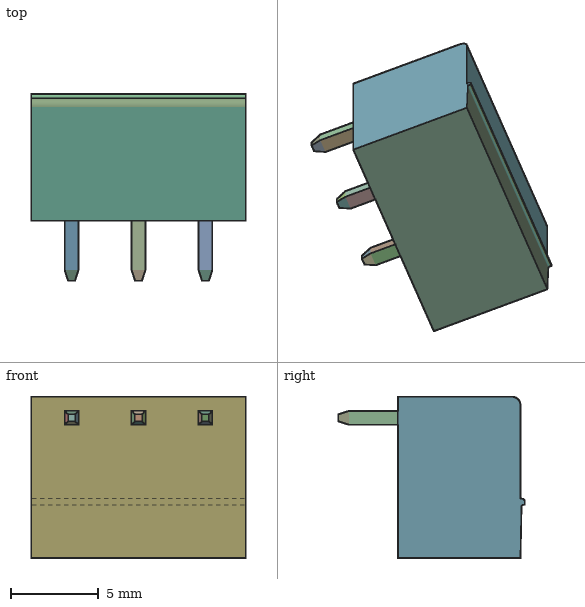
import cadquery as cq

BODY_WIDTH = 12.22
BODY_DEPTH = 6.98
BODY_HEIGHT = 9.2
TOP_EDGE_RADIUS = 0.5

RIDGE_PROJECTION = 0.25
RIDGE_TOP_Z = 3.4
RIDGE_HEIGHT = 0.36
RIDGE_RADIUS = 0.2
DRAFT_PROJECTION = 0.06
RIDGE_ROOT_RADIUS = 0.1

PIN_COUNT = 3
PIN_PITCH = 3.81
PIN_SIZE = 0.8
PIN_LENGTH = 3.41
PIN_DROP = 1.21
TIP_LENGTH = 0.62
TIP_SIZE = 0.4

PIN_Z = BODY_HEIGHT - PIN_DROP
RIDGE_BOTTOM_Z = RIDGE_TOP_Z - RIDGE_HEIGHT
RIDGE_Y = BODY_DEPTH + RIDGE_PROJECTION


def extrude_across_width(profile):
    """Extrude a closed Y-Z profile over the full housing width."""
    return profile.extrude(BODY_WIDTH / 2, both=True)


def make_block():
    block = extrude_across_width(
        cq.Workplane("YZ").rect(BODY_DEPTH, BODY_HEIGHT, centered=False)
    )
    return block.edges(">Y and >Z").fillet(TOP_EDGE_RADIUS)


def make_catch():
    """Ridge with a rounded upper edge, blending into the drafted wall below."""
    wall_y = BODY_DEPTH + DRAFT_PROJECTION
    profile = (
        cq.Workplane("YZ")
        .moveTo(0, 0)
        .lineTo(BODY_DEPTH, 0)
        .lineTo(wall_y, RIDGE_BOTTOM_Z - RIDGE_ROOT_RADIUS)
        .radiusArc((wall_y + RIDGE_ROOT_RADIUS, RIDGE_BOTTOM_Z), RIDGE_ROOT_RADIUS)
        .lineTo(RIDGE_Y, RIDGE_BOTTOM_Z)
        .lineTo(RIDGE_Y, RIDGE_TOP_Z - RIDGE_RADIUS)
        .radiusArc((RIDGE_Y - RIDGE_RADIUS, RIDGE_TOP_Z), -RIDGE_RADIUS)
        .lineTo(0, RIDGE_TOP_Z)
        .close()
    )
    return extrude_across_width(profile)


def make_pin(x):
    """Square shank out of the front face, ending in a tapered tip."""
    front_plane = cq.Workplane("XZ", origin=(x, 0, PIN_Z))
    shank_length = PIN_LENGTH - TIP_LENGTH
    shank = front_plane.rect(PIN_SIZE, PIN_SIZE).extrude(shank_length)
    tip = (
        front_plane.workplane(offset=shank_length)
        .rect(PIN_SIZE, PIN_SIZE)
        .workplane(offset=TIP_LENGTH)
        .rect(TIP_SIZE, TIP_SIZE)
        .loft(ruled=True)
    )
    return shank.union(tip)


result = make_block().union(make_catch())
for index in range(PIN_COUNT):
    pin_x = (index - (PIN_COUNT - 1) / 2) * PIN_PITCH
    result = result.union(make_pin(pin_x))